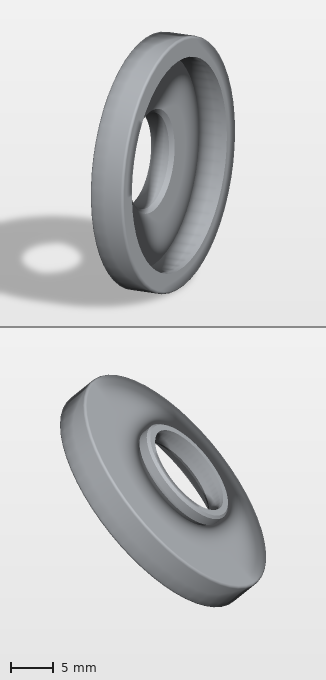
import cadquery as cq

disc_diameter = 30.5
disc_thickness = 4.27
disc_edge_fillet = 0.3

hub_length = 2.15
neck_length = 0.65
neck_diameter = 12.8
collar_diameter = 13.6
collar_chamfer = 0.3

bore_diameter = 11.4
bore_chamfer = 0.5

recess_diameter = 25.62
recess_depth = 3.6

total_length = disc_thickness + hub_length
back_face = total_length / 2
collar_front = -total_length / 2
disc_front = collar_front + hub_length
collar_length = hub_length - neck_length
recess_floor = back_face - recess_depth


def cylinder(start, length, diameter):
    """Cylinder along +X from the plane X = start."""
    return cq.Workplane("YZ", origin=(start, 0, 0)).circle(diameter / 2).extrude(length)


disc = cylinder(disc_front, disc_thickness, disc_diameter).edges().fillet(disc_edge_fillet)
neck = cylinder(disc_front - neck_length, neck_length, neck_diameter)
collar = cylinder(collar_front, collar_length, collar_diameter)
collar = collar.faces("<X").edges().chamfer(collar_chamfer)
body = disc.union(neck).union(collar)

bore = cylinder(collar_front, total_length, bore_diameter)
recess = cylinder(recess_floor, recess_depth, recess_diameter)
countersink = (
    cq.Workplane("YZ", origin=(recess_floor, 0, 0))
    .circle(bore_diameter / 2 + bore_chamfer)
    .workplane(offset=-bore_chamfer)
    .circle(bore_diameter / 2)
    .loft()
)

result = body.cut(bore).cut(recess).cut(countersink)